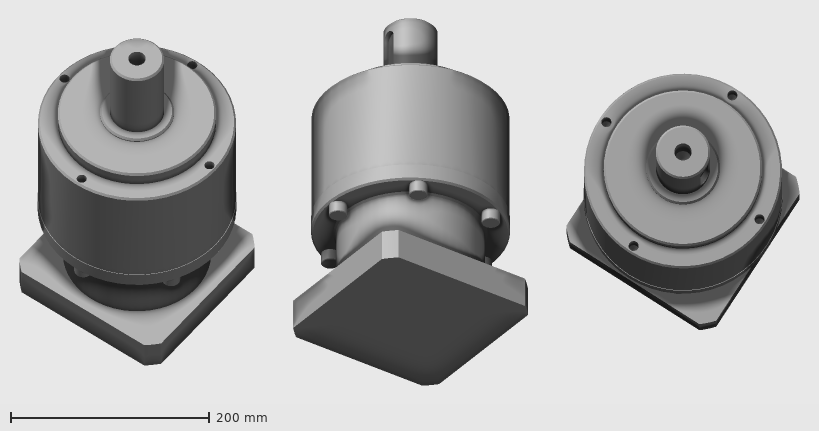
import cadquery as cq
import math

PLATE_TOP = 33.0
BOLT_BOTTOM = 94.0
FILLET_BOTTOM = 101.0
RING_BOTTOM = 106.0
RING_TOP = 124.0
HOUSING_TOP = 246.0
PILOT_TOP = 261.0
SHOULDER_TOP = 264.0
SHAFT_LENGTH = 85.0
SHAFT_TOP = SHOULDER_TOP + SHAFT_LENGTH

PLATE_SIDE = 180.0
PLATE_CORNER_DIAMETER = 238.0

NECK_DIAMETER = 150.0
RING_DIAMETER = 201.0
HOUSING_DIAMETER = 200.0
PILOT_DIAMETER = 160.0
SHOULDER_DIAMETER = 75.0
SHAFT_DIAMETER = 55.0

EDGE_CHAMFER = 2.0
BOLT_HEAD_CHAMFER = 0.7
NECK_FILLET = 5.0

BOLT_COUNT = 6
BOLT_CIRCLE_RADIUS = 89.3
BOLT_HEAD_DIAMETER = 18.5

DRILL_POINT_ANGLE = 118.0
MOUNTING_HOLE_COUNT = 4
MOUNTING_HOLE_DIAMETER = 10.2
MOUNTING_HOLE_DEPTH = 22.0
MOUNTING_HOLE_CIRCLE_RADIUS = 92.0
SHAFT_HOLE_DIAMETER = 17.5
SHAFT_HOLE_DEPTH = 42.0

KEYWAY_WIDTH = 16.0
KEYWAY_LENGTH = 65.0
KEYWAY_DEPTH = 6.0


def cylinder(diameter, bottom, top):
    """Cylinder on the Z axis between two heights."""
    return cq.Workplane("XY").workplane(offset=bottom).circle(diameter / 2).extrude(top - bottom)


def polar_points(count, radius):
    """Evenly spaced points on a circle, starting on the +Y axis."""
    angles = [math.pi / 2 + 2 * math.pi * i / count for i in range(count)]
    return [(radius * math.cos(a), radius * math.sin(a)) for a in angles]


def mounting_plate():
    """Square plate whose corners are turned to a common circle."""
    square = cq.Workplane("XY").rect(PLATE_SIDE, PLATE_SIDE).extrude(PLATE_TOP)
    return square.intersect(cylinder(PLATE_CORNER_DIAMETER, 0, PLATE_TOP))


def neck():
    """Round neck that meets the ring through a concave fillet and a short conical flare."""
    radius = NECK_DIAMETER / 2
    flare_bottom = RING_BOTTOM - EDGE_CHAMFER
    fillet_height = flare_bottom - FILLET_BOTTOM
    fillet_reach = NECK_FILLET - math.sqrt(NECK_FILLET**2 - fillet_height**2)
    flare_radius = radius + fillet_reach
    return (
        cq.Workplane("XZ")
        .moveTo(0, PLATE_TOP)
        .lineTo(radius, PLATE_TOP)
        .lineTo(radius, FILLET_BOTTOM)
        .radiusArc((flare_radius, flare_bottom), NECK_FILLET)
        .lineTo(flare_radius + EDGE_CHAMFER, RING_BOTTOM)
        .lineTo(0, RING_BOTTOM)
        .close()
        .revolve(360, (0, 0), (0, 1))
    )


def stepped_body():
    """Neck, ring, housing, pilot, shoulder and shaft stacked on the axis."""
    ring = cylinder(RING_DIAMETER, RING_BOTTOM, RING_TOP).faces("<Z").chamfer(EDGE_CHAMFER)
    housing = cylinder(HOUSING_DIAMETER, RING_TOP, HOUSING_TOP).faces(">Z").chamfer(EDGE_CHAMFER)
    pilot = cylinder(PILOT_DIAMETER, HOUSING_TOP, PILOT_TOP).faces(">Z").chamfer(EDGE_CHAMFER)
    shoulder = cylinder(SHOULDER_DIAMETER, PILOT_TOP, SHOULDER_TOP)
    shoulder = shoulder.faces(">Z").chamfer(EDGE_CHAMFER)
    shaft = cylinder(SHAFT_DIAMETER, SHOULDER_TOP, SHAFT_TOP).faces(">Z").chamfer(EDGE_CHAMFER)
    body = neck()
    for section in (ring, housing, pilot, shoulder, shaft):
        body = body.union(section)
    return body


def bolt_heads():
    """Ring of round bolt heads hanging below the ring."""
    heads = (
        cq.Workplane("XY")
        .workplane(offset=BOLT_BOTTOM)
        .pushPoints(polar_points(BOLT_COUNT, BOLT_CIRCLE_RADIUS))
        .circle(BOLT_HEAD_DIAMETER / 2)
        .extrude(RING_BOTTOM - BOLT_BOTTOM)
    )
    return heads.faces("<Z").edges().chamfer(BOLT_HEAD_CHAMFER)


def drilled_hole(diameter, depth, top):
    """Blind hole on the Z axis with a conical drill point below its full-diameter depth."""
    radius = diameter / 2
    point_height = radius / math.tan(math.radians(DRILL_POINT_ANGLE / 2))
    return (
        cq.Workplane("XZ")
        .moveTo(0, top)
        .lineTo(radius, top)
        .lineTo(radius, top - depth)
        .lineTo(0, top - depth - point_height)
        .close()
        .revolve(360, (0, 0), (0, 1))
    )


def keyway():
    """Round-ended slot centred along the shaft."""
    floor = SHAFT_DIAMETER / 2 - KEYWAY_DEPTH
    middle = SHOULDER_TOP + SHAFT_LENGTH / 2
    return (
        cq.Workplane("XZ", origin=(0, floor, middle))
        .slot2D(KEYWAY_LENGTH, KEYWAY_WIDTH, 90)
        .extrude(-SHAFT_DIAMETER / 2)
    )


result = mounting_plate().union(stepped_body()).union(bolt_heads())
result = result.cut(keyway())
result = result.cut(drilled_hole(SHAFT_HOLE_DIAMETER, SHAFT_HOLE_DEPTH, SHAFT_TOP))
mounting_hole = drilled_hole(MOUNTING_HOLE_DIAMETER, MOUNTING_HOLE_DEPTH, HOUSING_TOP)
for x, y in polar_points(MOUNTING_HOLE_COUNT, MOUNTING_HOLE_CIRCLE_RADIUS):
    result = result.cut(mounting_hole.translate((x, y, 0)))